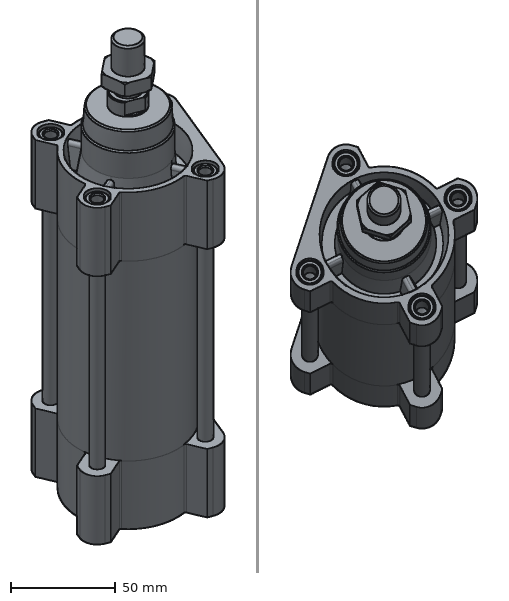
import cadquery as cq
import math

TOTAL_LENGTH = 273.0
SPIGOT_HEIGHT = 4.0
HEAD_LENGTH = 41.0
FRONT_HEAD_TOP = 205.5
FRONT_HEAD_BOTTOM = FRONT_HEAD_TOP - HEAD_LENGTH
REAR_HEAD_TOP = SPIGOT_HEIGHT + HEAD_LENGTH

HEAD_WIDTH = 75.0
HEAD_HALF = HEAD_WIDTH / 2
LUG_CORNER_RADIUS = 9.3
LUG_WIDTH = 17.5
LUG_ROOT_RADIUS = 1.0
LUG_OFFSET = HEAD_HALF - LUG_CORNER_RADIUS
BARREL_DIAMETER = 68.0
BOSS_DIAMETER = 45.0
SPIGOT_CHAMFER = 0.8
TIE_ROD_DIAMETER = 8.0

BOSS_TOP = 221.2
BOSS_CHAMFER = 0.8
COLLAR_TOP = 232.7
COLLAR_BASE_RADIUS = BOSS_DIAMETER / 2 - BOSS_CHAMFER
COLLAR_TOP_DIAMETER = 41.8
COLLAR_BULGE = 0.15
COLLAR_CHAMFER = 0.8

POCKET_OUTER_DIAMETER = 62.0
POCKET_DEPTH = 16.5
POCKET_DRAFT = 9.0
BACK_POCKET_DRAFT = 4.0
POCKET_RIB_WIDTH = 4.0
POCKET_RIB_DROP = 2.0

COUNTERBORE_DIAMETER = 13.0
COUNTERBORE_DEPTH = 4.0
BOLT_HEAD_DIAMETER = 12.0
BOLT_HEAD_HEIGHT = 3.0
BOLT_HEAD_CHAMFER = 0.5
BOLT_HOLE_DIAMETER = 6.5
BOLT_HOLE_MOUTH_DIAMETER = 8.0
BOLT_HOLE_DEPTH = 13.7
DRILL_POINT_ANGLE = 118.0

ROD_DIAMETER = 20.0
ROD_BOTTOM = FRONT_HEAD_BOTTOM
ROD_SHOULDER = 241.5
ROD_SHOULDER_CHAMFER = 0.5
FLAT_BOTTOM = COLLAR_TOP + 0.8
WRENCH_FLAT_WIDTH = 17.0
THREAD_DIAMETER = 16.0
THREAD_BOTTOM = 244.5
THREAD_CHAMFER = 1.0
UNDERCUT_DIAMETER = 14.0

NUT_WIDTH = 24.0
NUT_BOTTOM = 247.2
NUT_HEIGHT = 8.2
NUT_CROWN_DIAMETER = 25.7
NUT_CHAMFER_ANGLE = 30.0

LUG_CENTRES = [(x, y) for x in (-LUG_OFFSET, LUG_OFFSET) for y in (-LUG_OFFSET, LUG_OFFSET)]


def cylinder(diameter, bottom, top):
    return cq.Workplane("XY").workplane(offset=bottom).circle(diameter / 2).extrude(top - bottom)


def revolve_profile(points, angle=360):
    """Turn an outline of (radius, height) points about the Z axis, from +X towards +Y."""
    return cq.Workplane("XZ").polyline(points).close().revolve(angle, (0, 0), (0, 1))


def lug_root_selector(bottom):
    """Select the upright edges where the lug sides run into the round of a head."""
    half_width = LUG_WIDTH / 2
    along = math.sqrt((BARREL_DIAMETER / 2) ** 2 - half_width ** 2)
    near = (along - half_width) / math.sqrt(2)
    far = (along + half_width) / math.sqrt(2)
    middle = bottom + HEAD_LENGTH / 2
    roots = [(-far, near), (far, near), (-far, -near), (far, -near), (-near, -far), (near, -far)]
    selector = cq.NearestToPointSelector((*roots[0], middle))
    for x, y in roots[1:]:
        selector = selector + cq.NearestToPointSelector((x, y, middle))
    return selector


def head(bottom):
    """Round head with four corner lugs and a flat +Y side."""
    plane = cq.Workplane("XY").workplane(offset=bottom)
    square = plane.rect(HEAD_WIDTH, HEAD_WIDTH).extrude(HEAD_LENGTH)
    square = square.edges("|Z").fillet(LUG_CORNER_RADIUS)
    diagonal = HEAD_WIDTH * math.sqrt(2)
    keep = plane.circle(BARREL_DIAMETER / 2).extrude(HEAD_LENGTH)
    for angle in (45, 135):
        strip = plane.transformed(rotate=(0, 0, angle)).rect(diagonal, LUG_WIDTH).extrude(HEAD_LENGTH)
        keep = keep.union(strip)
    flat_side = plane.center(0, HEAD_HALF / 2 + LUG_OFFSET / 2)
    flat_side = flat_side.rect(2 * LUG_OFFSET, HEAD_HALF - LUG_OFFSET).extrude(HEAD_LENGTH)
    back_fill = plane.polyline([(0, 0), (-LUG_OFFSET, LUG_OFFSET), (LUG_OFFSET, LUG_OFFSET)])
    back_fill = back_fill.close().extrude(HEAD_LENGTH)
    outline = square.intersect(keep.union(flat_side).union(back_fill))
    return outline.edges(lug_root_selector(bottom)).fillet(LUG_ROOT_RADIUS)


def pocket_sector(start_angle, draft):
    """Quarter-ring pocket whose two walls draw together towards its floor."""
    inset = POCKET_DEPTH * math.tan(math.radians(draft))
    outer = POCKET_OUTER_DIAMETER / 2
    inner = BOSS_DIAMETER / 2
    floor = FRONT_HEAD_TOP - POCKET_DEPTH
    outline = [
        (inner, FRONT_HEAD_TOP),
        (outer, FRONT_HEAD_TOP),
        (outer - inset, floor),
        (inner + inset, floor),
    ]
    return revolve_profile(outline, 90).rotate((0, 0, 0), (0, 0, 1), start_angle)


def pocket_rib(angle, draft):
    """Round-topped rib that crosses the pocket ring, its sides spreading towards the floor."""
    radius = POCKET_RIB_WIDTH / 2
    centre_height = FRONT_HEAD_TOP - POCKET_RIB_DROP - radius
    bottom = FRONT_HEAD_TOP - POCKET_DEPTH
    foot = radius + (centre_height - bottom) * math.tan(math.radians(draft))
    rib = (
        cq.Workplane("YZ")
        .moveTo(-foot, bottom)
        .lineTo(-radius, centre_height)
        .threePointArc((0, centre_height + radius), (radius, centre_height))
        .lineTo(foot, bottom)
        .close()
        .extrude(POCKET_OUTER_DIAMETER / 2)
    )
    return rib.rotate((0, 0, 0), (0, 0, 1), angle)


def pockets():
    """Four pockets between the ribs; the one on the +Y side has steeper walls."""
    cutters = []
    for start_angle in (45, 135, 225, 315):
        draft = BACK_POCKET_DRAFT if start_angle == 45 else POCKET_DRAFT
        pocket = pocket_sector(start_angle, draft)
        for rib_angle in (start_angle, start_angle + 90):
            pocket = pocket.cut(pocket_rib(rib_angle, draft))
        cutters.append(pocket)
    return cutters


def collar():
    """Boss above the front head and the crowned collar on it."""
    boss_radius = BOSS_DIAMETER / 2
    top_radius = COLLAR_TOP_DIAMETER / 2
    crown_top = COLLAR_TOP - COLLAR_CHAMFER
    crown_middle = ((COLLAR_BASE_RADIUS + top_radius) / 2 + COLLAR_BULGE, (BOSS_TOP + crown_top) / 2)
    return (
        cq.Workplane("XZ")
        .moveTo(0, FRONT_HEAD_BOTTOM)
        .lineTo(boss_radius, FRONT_HEAD_BOTTOM)
        .lineTo(boss_radius, BOSS_TOP - BOSS_CHAMFER)
        .lineTo(COLLAR_BASE_RADIUS, BOSS_TOP)
        .threePointArc(crown_middle, (top_radius, crown_top))
        .lineTo(top_radius - COLLAR_CHAMFER, COLLAR_TOP)
        .lineTo(0, COLLAR_TOP)
        .close()
        .revolve(360, (0, 0), (0, 1))
    )


def bolt_pocket():
    """Space around and inside one tie-rod bolt head, to be cut from a lug."""
    head_top = FRONT_HEAD_TOP - COUNTERBORE_DEPTH + BOLT_HEAD_HEIGHT
    space = cylinder(COUNTERBORE_DIAMETER, FRONT_HEAD_TOP - COUNTERBORE_DEPTH, FRONT_HEAD_TOP)
    bolt_head = cylinder(BOLT_HEAD_DIAMETER, FRONT_HEAD_TOP - COUNTERBORE_DEPTH, head_top)
    bolt_head = bolt_head.faces(">Z").edges().chamfer(BOLT_HEAD_CHAMFER)
    hole_radius = BOLT_HOLE_DIAMETER / 2
    mouth_radius = BOLT_HOLE_MOUTH_DIAMETER / 2
    hole_bottom = head_top - BOLT_HOLE_DEPTH
    point_depth = hole_radius / math.tan(math.radians(DRILL_POINT_ANGLE / 2))
    hole = revolve_profile([
        (0, head_top),
        (mouth_radius, head_top),
        (hole_radius, head_top - (mouth_radius - hole_radius)),
        (hole_radius, hole_bottom),
        (0, hole_bottom - point_depth),
    ])
    return space.cut(bolt_head).union(hole)


def make_housing():
    front_head = head(FRONT_HEAD_BOTTOM)
    for x, y in LUG_CENTRES:
        front_head = front_head.cut(bolt_pocket().translate((x, y, 0)))
    for pocket in pockets():
        front_head = front_head.cut(pocket, clean=False)

    spigot = cylinder(BOSS_DIAMETER, 0, SPIGOT_HEIGHT).faces("<Z").edges().chamfer(SPIGOT_CHAMFER)
    rear_head = head(SPIGOT_HEIGHT).union(spigot)
    barrel = cylinder(BARREL_DIAMETER, REAR_HEAD_TOP, FRONT_HEAD_BOTTOM)

    housing = front_head.union(collar(), clean=False).union(barrel, clean=False).union(rear_head, clean=False)
    for x, y in LUG_CENTRES:
        tie_rod = cylinder(TIE_ROD_DIAMETER, REAR_HEAD_TOP, FRONT_HEAD_BOTTOM).translate((x, y, 0))
        housing = housing.union(tie_rod, clean=False)
    return housing.cut(cylinder(ROD_DIAMETER, ROD_BOTTOM, COLLAR_TOP), clean=False)


def make_piston_rod():
    shank = cylinder(ROD_DIAMETER, ROD_BOTTOM, ROD_SHOULDER)
    shank = shank.faces(">Z").edges().chamfer(ROD_SHOULDER_CHAMFER)
    flats = (
        cq.Workplane("XY")
        .workplane(offset=FLAT_BOTTOM)
        .rect(2 * ROD_DIAMETER, 2 * ROD_DIAMETER)
        .rect(WRENCH_FLAT_WIDTH, 2 * ROD_DIAMETER)
        .extrude(ROD_SHOULDER - FLAT_BOTTOM)
    )
    undercut = cylinder(UNDERCUT_DIAMETER, ROD_SHOULDER, THREAD_BOTTOM)
    thread = cylinder(THREAD_DIAMETER, THREAD_BOTTOM, TOTAL_LENGTH)
    thread = thread.faces("<Z or >Z").edges().chamfer(THREAD_CHAMFER)
    return shank.cut(flats).union(undercut).union(thread)


def make_lock_nut():
    """Hexagon nut with flats facing -X and +X and both faces crowned."""
    corner_radius = NUT_WIDTH / math.sqrt(3)
    crown_radius = NUT_CROWN_DIAMETER / 2
    rim_drop = (corner_radius - crown_radius) * math.tan(math.radians(NUT_CHAMFER_ANGLE))
    nut_top = NUT_BOTTOM + NUT_HEIGHT
    hexagon = (
        cq.Workplane("XY")
        .workplane(offset=NUT_BOTTOM)
        .transformed(rotate=(0, 0, 90))
        .polygon(6, 2 * corner_radius)
        .extrude(NUT_HEIGHT)
    )
    crown = revolve_profile([
        (0, NUT_BOTTOM),
        (crown_radius, NUT_BOTTOM),
        (corner_radius, NUT_BOTTOM + rim_drop),
        (corner_radius, nut_top - rim_drop),
        (crown_radius, nut_top),
        (0, nut_top),
    ])
    return hexagon.intersect(crown).cut(cylinder(THREAD_DIAMETER, NUT_BOTTOM, nut_top))


housing = make_housing()
piston_rod = make_piston_rod()
lock_nut = make_lock_nut()

result = cq.Compound.makeCompound([housing.val(), piston_rod.val(), lock_nut.val()])